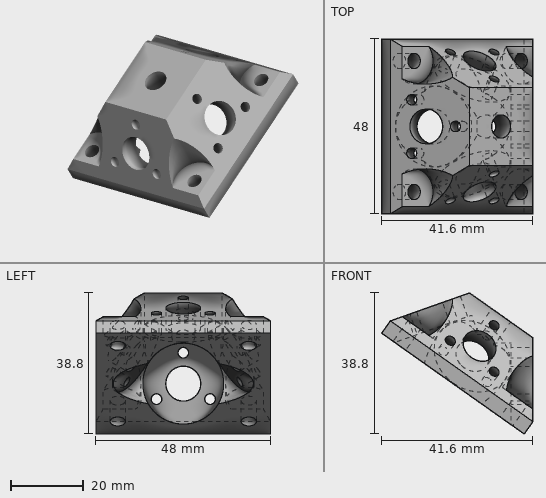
import cadquery as cq
import math

BASE_SIDE = 48.0
TOTAL_HEIGHT = 23.0
FACE_DISTANCE = 22.0
FACE_TILT = math.degrees(math.atan(1 / math.sqrt(2)))
TILT_COS = math.cos(math.radians(FACE_TILT))
TILT_SIN = math.sin(math.radians(FACE_TILT))
PLATE_EDGE = (FACE_DISTANCE - BASE_SIDE / 2 * TILT_COS) / TILT_SIN

FACE_COUNT = 4
WALL = 6.0
POCKET_DIAMETER = 22.23
BORE_DIAMETER = 9.53
SCREW_DIAMETER = 2.87
SCREW_COUNT = 3
SCREW_CIRCLE_RADIUS = 8.5
UPHILL_ANGLE = 90.0

TOP_HOLE_DIAMETER = 6.35
BOLT_PITCH = 36.0
BOLT_DIAMETER = 4.22
SEAT_DIAMETER = 12.7
SEAT_HEIGHT = 7.0


def make_body():
    plate = cq.Workplane("XY").rect(BASE_SIDE, BASE_SIDE).extrude(PLATE_EDGE)
    frustum = (
        cq.Workplane("XY", origin=(0, 0, PLATE_EDGE))
        .rect(BASE_SIDE, BASE_SIDE)
        .extrude(TOTAL_HEIGHT - PLATE_EDGE, taper=FACE_TILT)
    )
    return plate.union(frustum)


def make_face_cutter():
    """Pocket, bore and screw holes for the face looking toward +X, with the axis along X."""
    plane = cq.Workplane("YZ")
    pocket_end = FACE_DISTANCE - WALL
    pocket = (
        cq.Workplane("YZ", origin=(-BASE_SIDE / 2, 0, 0))
        .circle(POCKET_DIAMETER / 2)
        .extrude(BASE_SIDE / 2 + pocket_end)
    )
    bore = plane.circle(BORE_DIAMETER / 2).extrude(FACE_DISTANCE)
    screws = (
        plane.polarArray(SCREW_CIRCLE_RADIUS, UPHILL_ANGLE, 360, SCREW_COUNT)
        .circle(SCREW_DIAMETER / 2)
        .extrude(FACE_DISTANCE)
    )
    return pocket.union(bore).union(screws)


def cut_faces(body):
    cutter = make_face_cutter().rotate((0, 0, 0), (0, 1, 0), -FACE_TILT)
    for index in range(FACE_COUNT):
        body = body.cut(cutter.rotate((0, 0, 0), (0, 0, 1), index * 360 / FACE_COUNT))
    return body


def cut_top_hole(body):
    return body.cut(cq.Workplane("XY").circle(TOP_HOLE_DIAMETER / 2).extrude(TOTAL_HEIGHT))


def cut_corners(body):
    bolts = (
        cq.Workplane("XY")
        .rect(BOLT_PITCH, BOLT_PITCH, forConstruction=True)
        .vertices()
        .circle(BOLT_DIAMETER / 2)
        .extrude(TOTAL_HEIGHT)
    )
    seats = (
        cq.Workplane("XY", origin=(0, 0, SEAT_HEIGHT))
        .rect(BOLT_PITCH, BOLT_PITCH, forConstruction=True)
        .vertices()
        .circle(SEAT_DIAMETER / 2)
        .extrude(TOTAL_HEIGHT - SEAT_HEIGHT)
    )
    return body.cut(bolts).cut(seats)


upright = cut_corners(cut_top_hole(cut_faces(make_body())))
result = upright.rotate((0, 0, 0), (0, 1, 0), FACE_TILT)